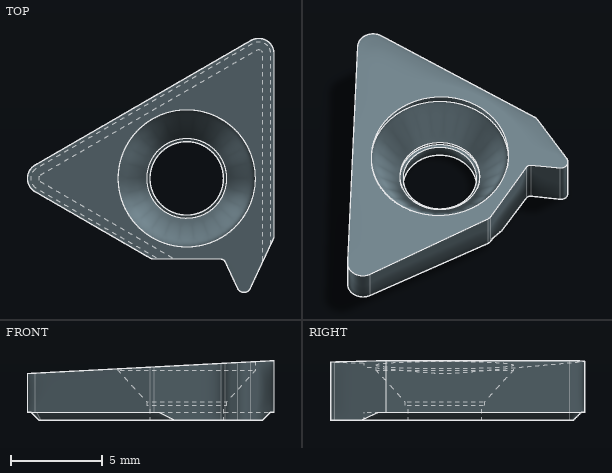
import cadquery as cq
import math

inradius = 4.78
corner_radius = 0.85
corner_center_distance = 2 * (inradius - corner_radius)
max_height = 3.27
top_tilt = 3.0

shelf_y = -4.42
nose_end_y = -6.24
nose_x = 3.13
nose_half_angle = math.radians(25)
nose_radius = 0.39
shelf_end_radius = 0.42
nose_root_radius = 0.26

relief_height = 0.43
relief_ledge = 0.2
relief_angle = 45.0

hole_radius = 2.0
seat_radius = 2.18
sink_radius = 3.75
seat_z = 0.8
cone_bottom_z = 1.0
cone_top_z = 2.72


def rounded_triangle(radius, height, taper=0):
    """Triangle pointing to -X, with corner arcs about the common corner centres."""
    reach = corner_center_distance + 2 * radius
    corners = []
    for angle in (60, 180, 300):
        turn = math.radians(angle)
        corners.append((reach * math.cos(turn), reach * math.sin(turn)))
    sketch = cq.Sketch().polygon(corners + corners[:1]).vertices().fillet(radius)
    return cq.Workplane("XY").placeSketch(sketch).extrude(height, taper=taper)


def round_edge(body, x, y, radius):
    """Round the vertical edge standing at (x, y)."""
    return body.edges(cq.selectors.NearestToPointSelector((x, y, max_height / 2))).fillet(radius)


def make_outline_prism():
    """Full-height prism of the triangle with its shelf and nose."""
    half_slope = math.tan(nose_half_angle)
    apex_y = nose_end_y - nose_radius * (1 / math.sin(nose_half_angle) - 1)
    nose_root_x = nose_x - (shelf_y - apex_y) * half_slope
    nose_top_y = apex_y + (inradius - nose_x) / half_slope
    shelf_start_x = -2 * inradius - math.sqrt(3) * shelf_y
    left_corner = (-2 * inradius, 0)
    upper_corner = (inradius, math.sqrt(3) * inradius)
    outline = [
        left_corner,
        (shelf_start_x, shelf_y),
        (nose_root_x, shelf_y),
        (nose_x, apex_y),
        (inradius, nose_top_y),
        upper_corner,
    ]
    prism = cq.Workplane("XY").polyline(outline).close().extrude(max_height)
    prism = round_edge(prism, *left_corner, corner_radius)
    prism = round_edge(prism, *upper_corner, corner_radius)
    prism = round_edge(prism, shelf_start_x, shelf_y, shelf_end_radius)
    prism = round_edge(prism, nose_root_x, shelf_y, nose_root_radius)
    return round_edge(prism, nose_x, apex_y, nose_radius)


def relieve_underside(prism):
    """Step in and bevel the underside along the triangle sides."""
    bevel_width = relief_height * math.tan(math.radians(relief_angle))
    base_radius = corner_radius - relief_ledge - bevel_width
    base = rounded_triangle(base_radius, relief_height, taper=-relief_angle)
    upper = prism.cut(
        cq.Workplane("XY").circle(2 * corner_center_distance).extrude(relief_height)
    )
    return upper.union(prism.intersect(base))


def slope_top(body):
    """Trim the top to a plane rising to full height at the +X side."""
    low_x = -corner_center_distance - corner_radius
    low_z = max_height - (inradius - low_x) * math.tan(math.radians(top_tilt))
    wedge = (
        cq.Workplane("XZ")
        .polyline([(low_x, low_z), (inradius, max_height), (low_x, max_height)])
        .close()
        .extrude(2 * inradius, both=True)
    )
    return body.cut(wedge)


def make_screw_hole():
    """Revolved countersunk hole with a small seat ledge."""
    profile = [
        (0, 0),
        (hole_radius, 0),
        (hole_radius, seat_z),
        (seat_radius, seat_z),
        (seat_radius, cone_bottom_z),
        (sink_radius, cone_top_z),
        (sink_radius, max_height),
        (0, max_height),
    ]
    return cq.Workplane("XZ").polyline(profile).close().revolve(360, (0, 0, 0), (0, 1, 0))


result = slope_top(relieve_underside(make_outline_prism())).cut(make_screw_hole())